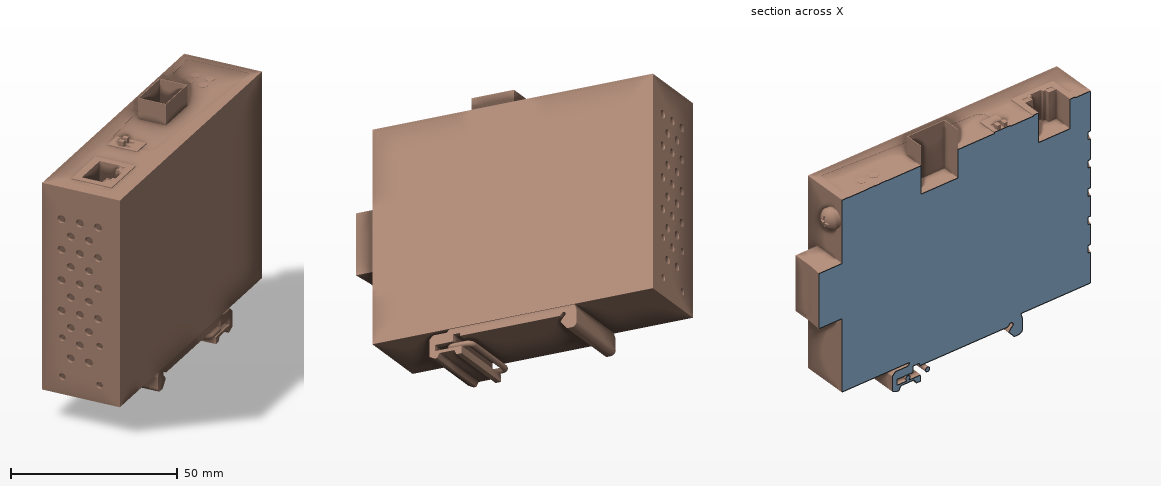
import cadquery as cq
import math


WIDTH = 26.1
DEPTH = 95.0
HEIGHT = 69.8

VENT_DIA = 2.6
VENT_PITCH_X = 6.1
VENT_SPAN_Z = 46.3
VENT_CENTER_X = -0.4
VENT_TOP_Z = 59.0
VENT_ROWS = 10
VENT_PITCH_Z = VENT_SPAN_Z / (VENT_ROWS - 1)
SMALL_HOLE_DIA = 2.2
SMALL_HOLE_X = 6.2
SMALL_HOLE_ROWS_Z = (19.0, 5.9)
FRONT_HOLE_DEPTH = 1.0

PANEL_BACK_Y = 92.4
PANEL_FRONT_Y = 32.7
PANEL_BACK_HALF = 10.6
PANEL_FRONT_HALF = 7.5
PANEL_BACK_RADIUS = 0.8
PANEL_FRONT_RADIUS = 3.1
PANEL_RECESS = 0.1

LAMP_DIA = 3.1
LAMP_XS = (-3.8, 1.1)
LAMP_YS = (83.9, 79.2)

CAGE_X = (-6.2, 3.1)
CAGE_Y = (50.6, 64.9)
CAGE_HEIGHT = 7.0
CAGE_WALL = 0.2
CAGE_DEPTH = 10.4

SWITCH_X = (-6.6, 3.4)
SWITCH_Y = (30.7, 36.8)
PLATE_HEIGHT = 0.3
LEVER_LENGTH = 1.7
LEVER_HEIGHT = 1.9
SLOT_X = (-3.3, 0.3)
SLOT_WIDTH = 1.4
SLOT_YS = (34.9, 32.3)
SLOT_DEPTH = 0.2

JACK_X = (-6.2, 7.3)
JACK_Y = (6.0, 22.1)
JACK_DEPTH = 10.4
PLUG_X = (-3.7, 3.1)
PLUG_Y = (8.0, 20.0)
KEY_X = 4.7
KEY_Y = (10.9, 17.0)
LATCH_X = 5.6
LATCH_Y = (11.9, 16.0)
JACK_LAMP_X = (3.3, 5.1)
JACK_LAMP_YS = ((8.3, 10.5), (17.6, 19.6))
JACK_LAMP_DEPTH = 0.2

TERMINAL_X = (-6.3, 8.4)
TERMINAL_Z = (26.6, 46.8)
TERMINAL_REACH = 9.1
TERMINAL_LOW_REACH = 8.3
TERMINAL_STEP_X = 1.0

SCREW_X = 0.4
SCREW_Z = 61.4
SCREW_RADIUS = 3.5
SCREW_RIM = 1.9
SCREW_DOME = 2.1
CROSS_LENGTH = 3.7
CROSS_WIDTH = 0.7
CROSS_DEPTH = 0.8

CLIP_WIDTH = 25.5
CLIP_SINK = 0.5
SPRING_DIA = 1.8
SPRING_Z = -5.3
SPRING_Y = (62.3, 69.8)
SPRING_HALF_X = 11.8
SPRING_BEND = 1.8


def block(x_range, y_range, z_range):
    """Box between the given lower and upper limits."""
    size = [high - low for low, high in (x_range, y_range, z_range)]
    corner = (x_range[0], y_range[0], z_range[0])
    return cq.Workplane("XY").box(*size, centered=False).translate(corner)


def front_holes(points, diameter):
    """Blind holes in the front face at the given (x, z) points."""
    return cq.Workplane("XZ").pushPoints(points).circle(diameter / 2).extrude(-FRONT_HOLE_DEPTH)


def vent_points():
    points = []
    for row in range(VENT_ROWS):
        z = VENT_TOP_Z - row * VENT_PITCH_Z
        if row % 2:
            columns = (-0.5, 0.5)
        elif z < SMALL_HOLE_ROWS_Z[0]:
            columns = (0,)
        else:
            columns = (-1, 0, 1)
        points += [(VENT_CENTER_X + column * VENT_PITCH_X, z) for column in columns]
    return points


def label_recess():
    """Shallow tapered panel that leaves the lamps standing flush."""
    panel = (
        cq.Workplane("XY", origin=(0, 0, HEIGHT - PANEL_RECESS))
        .polyline([
            (-PANEL_BACK_HALF, PANEL_BACK_Y),
            (PANEL_BACK_HALF, PANEL_BACK_Y),
            (PANEL_FRONT_HALF, PANEL_FRONT_Y),
            (-PANEL_FRONT_HALF, PANEL_FRONT_Y),
        ])
        .close()
        .extrude(PANEL_RECESS)
    )
    panel = panel.edges("|Z").edges(">Y").fillet(PANEL_BACK_RADIUS)
    panel = panel.edges("|Z").edges("<Y").fillet(PANEL_FRONT_RADIUS)
    lamp_points = [(x, y) for x in LAMP_XS for y in LAMP_YS]
    lamps = (
        cq.Workplane("XY", origin=(0, 0, HEIGHT - PANEL_RECESS))
        .pushPoints(lamp_points)
        .circle(LAMP_DIA / 2)
        .extrude(PANEL_RECESS)
    )
    return panel.cut(lamps)


def add_cage(body):
    """Thin-walled open box whose cavity runs down into the housing."""
    top = HEIGHT + CAGE_HEIGHT
    inner_x = (CAGE_X[0] + CAGE_WALL, CAGE_X[1] - CAGE_WALL)
    inner_y = (CAGE_Y[0] + CAGE_WALL, CAGE_Y[1] - CAGE_WALL)
    outer = block(CAGE_X, CAGE_Y, (HEIGHT - PANEL_RECESS, top))
    return body.union(outer).cut(block(inner_x, inner_y, (HEIGHT - CAGE_DEPTH, top)))


def add_switch(body):
    """Plate with two slots, each with a lever standing at its -X end."""
    top = HEIGHT + PLATE_HEIGHT
    floor = top - SLOT_DEPTH
    body = body.union(block(SWITCH_X, SWITCH_Y, (HEIGHT - PANEL_RECESS, top)))
    lever_x = (SLOT_X[0], SLOT_X[0] + LEVER_LENGTH)
    for y in SLOT_YS:
        slot_y = (y - SLOT_WIDTH / 2, y + SLOT_WIDTH / 2)
        body = body.cut(block(SLOT_X, slot_y, (floor, top)))
        body = body.union(block(lever_x, slot_y, (floor, HEIGHT + LEVER_HEIGHT)))
    return body


def add_jack(body):
    """Raised frame with a stepped plug opening and two sunk lamps."""
    top = HEIGHT + PLATE_HEIGHT
    depth_range = (HEIGHT - JACK_DEPTH, top)
    body = body.union(block(JACK_X, JACK_Y, (HEIGHT, top)))
    body = body.cut(block(PLUG_X, PLUG_Y, depth_range))
    body = body.cut(block((PLUG_X[0], KEY_X), KEY_Y, depth_range))
    body = body.cut(block((PLUG_X[0], LATCH_X), LATCH_Y, depth_range))
    for lamp_y in JACK_LAMP_YS:
        body = body.cut(block(JACK_LAMP_X, lamp_y, (top - JACK_LAMP_DEPTH, top)))
    return body


def terminal_block():
    """Block on the back whose rear face slopes, then runs flat."""
    left, right = TERMINAL_X
    return (
        cq.Workplane("XY", origin=(0, 0, TERMINAL_Z[0]))
        .polyline([
            (left, DEPTH),
            (right, DEPTH),
            (right, DEPTH + TERMINAL_LOW_REACH),
            (TERMINAL_STEP_X, DEPTH + TERMINAL_LOW_REACH),
            (left, DEPTH + TERMINAL_REACH),
        ])
        .close()
        .extrude(TERMINAL_Z[1] - TERMINAL_Z[0])
    )


def ground_screw():
    """Domed screw head with a cross recess, its axis along Y."""
    tip = SCREW_RIM + SCREW_DOME
    dome_radius = (SCREW_RADIUS**2 + SCREW_DOME**2) / (2 * SCREW_DOME)
    half_angle = math.asin(SCREW_RADIUS / dome_radius) / 2
    arc_middle = (
        dome_radius * math.sin(half_angle),
        tip - dome_radius * (1 - math.cos(half_angle)),
    )
    head = (
        cq.Workplane("XY")
        .lineTo(SCREW_RADIUS, 0)
        .lineTo(SCREW_RADIUS, SCREW_RIM)
        .threePointArc(arc_middle, (0, tip))
        .close()
        .revolve(360, (0, 0), (0, 1))
    )
    for length_x, length_z in ((CROSS_LENGTH, CROSS_WIDTH), (CROSS_WIDTH, CROSS_LENGTH)):
        bar = cq.Workplane("XY").box(length_x, 2 * CROSS_DEPTH, length_z)
        head = head.cut(bar.translate((0, tip, 0)))
    return head.translate((SCREW_X, DEPTH, SCREW_Z))


def rail_clip():
    """Rail profile: slotted foot at the back, hook at the front, top sunk into the housing."""
    return (
        cq.Workplane("YZ", origin=(-CLIP_WIDTH / 2, 0, 0))
        .moveTo(69.2, CLIP_SINK)
        .lineTo(69.2, 0)
        .lineTo(69.9, -0.9)
        .lineTo(74.6, -0.9)
        .lineTo(75.9, -2.2)
        .lineTo(75.9, -7.7)
        .lineTo(74.1, -8.5)
        .lineTo(73.3, -8.5)
        .lineTo(72.4, -7.1)
        .lineTo(67.4, -7.1)
        .lineTo(66.7, -8.5)
        .lineTo(64.9, -8.5)
        .lineTo(64.9, -6.1)
        .lineTo(74.0, -6.1)
        .lineTo(74.0, -4.2)
        .lineTo(67.8, -4.2)
        .lineTo(67.8, -1.9)
        .lineTo(65.5, -1.9)
        .lineTo(65.5, -2.8)
        .lineTo(31.6, -2.8)
        .lineTo(30.9, -2.0)
        .threePointArc((30.0, -2.0), (29.9, -2.9))
        .lineTo(30.8, -3.8)
        .lineTo(31.4, -4.8)
        .lineTo(29.2, -7.3)
        .lineTo(27.5, -7.3)
        .threePointArc((26.5, -6.9), (26.0, -5.5))
        .lineTo(26.0, -2.0)
        .lineTo(26.6, 0)
        .lineTo(26.6, CLIP_SINK)
        .close()
        .extrude(CLIP_WIDTH)
    )


def wire_spring():
    """Closed rounded-rectangle wire loop lying in the slot of the clip."""
    front, back = SPRING_Y
    straight_x = SPRING_HALF_X - SPRING_BEND
    path = cq.Workplane("XY", origin=(0, 0, SPRING_Z)).moveTo(0, front)
    corners = (
        (straight_x, front + SPRING_BEND, -90),
        (straight_x, back - SPRING_BEND, 0),
        (-straight_x, back - SPRING_BEND, 90),
        (-straight_x, front + SPRING_BEND, 180),
    )
    for center_x, center_y, start in corners:
        bend = []
        for angle in (start, start + 45, start + 90):
            turn = math.radians(angle)
            bend.append((center_x + SPRING_BEND * math.cos(turn), center_y + SPRING_BEND * math.sin(turn)))
        path = path.lineTo(*bend[0]).threePointArc(bend[1], bend[2])
    path = path.close()
    section = cq.Workplane("YZ", origin=(0, front, SPRING_Z)).circle(SPRING_DIA / 2)
    return section.sweep(path)


def build():
    body = block((-WIDTH / 2, WIDTH / 2), (0, DEPTH), (0, HEIGHT))
    body = body.cut(front_holes(vent_points(), VENT_DIA))
    small_points = [(side * SMALL_HOLE_X, z) for side in (-1, 1) for z in SMALL_HOLE_ROWS_Z]
    body = body.cut(front_holes(small_points, SMALL_HOLE_DIA))
    body = body.cut(label_recess())
    body = add_cage(body)
    body = add_switch(body)
    body = add_jack(body)
    for part in (terminal_block(), ground_screw(), rail_clip(), wire_spring()):
        body = body.union(part)
    return body


result = build()